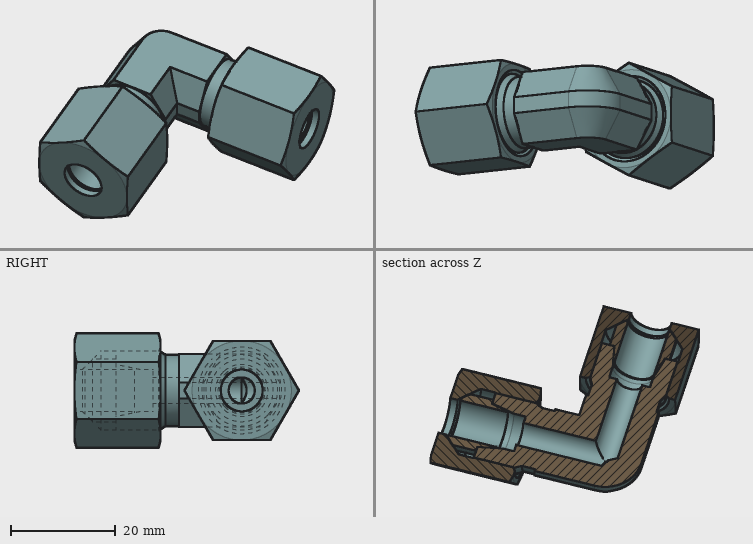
import cadquery as cq
import math


ARMS = [(0, 0), (-90, 30)]

NUT_END = 32.0
NUT_LENGTH = 16.5
NUT_START = NUT_END - NUT_LENGTH
NUT_FLATS = 19.0
NUT_CORNERS = NUT_FLATS / math.cos(math.radians(30))
NUT_CHAMFER_ANGLE = 15.0
NUT_LIP = 1.5
NUT_MOUTH_RADIUS = 8.3
NUT_MOUTH_ANGLE = 60.0

TUBE_RADIUS = 4.0
THREAD_RADIUS = 7.6
FLOW_RADIUS = 2.5
DRILL_POINT_ANGLE = 118.0

BODY_HALF_WIDTH = 7.25
BODY_HALF_HEIGHT = 7.0
TOP_HALF_WIDTH = 4.0
SIDE_HALF_HEIGHT = 1.55
BODY_ARM = 12.0

NECK_RADIUS = 6.85
NECK_END = 14.55
THREAD_LEAD_ANGLE = 30.0
STUB_END = 24.0
SOCKET_START = 17.0
SEAT_MOUTH_RADIUS = 5.0
SEAT_HALF_ANGLE = 12.0

RING_RADIUS = 6.0
RING_TIP = 20.5
RING_REAR_WALL = 0.5
RING_REAR_RADIUS = TUBE_RADIUS + RING_REAR_WALL
RING_END = NUT_END - NUT_LIP - RING_REAR_WALL

SEAT_SLOPE = math.tan(math.radians(SEAT_HALF_ANGLE))
SEAT_START = STUB_END - (SEAT_MOUTH_RADIUS - TUBE_RADIUS) / SEAT_SLOPE


def turned(points):
    """Solid of revolution about the X axis from (position, radius) points."""
    return cq.Workplane("XY").polyline(points).close().revolve(360, (0, 0, 0), (1, 0, 0))


def on_arm(arm_part, turn):
    """Turn a part made along +X about Z onto the arm at that angle."""
    return arm_part.rotate((0, 0, 0), (0, 0, 1), turn)


def make_nut(roll):
    """Hexagon nut along +X; with no roll its corners point along Y."""
    hexagon = (
        cq.Workplane("YZ", origin=(NUT_START, 0, 0))
        .polygon(6, NUT_CORNERS)
        .extrude(NUT_LENGTH)
        .rotate((0, 0, 0), (1, 0, 0), roll)
    )

    face_radius = NUT_FLATS / 2
    corner_radius = NUT_CORNERS / 2
    chamfer = (corner_radius - face_radius) * math.tan(math.radians(NUT_CHAMFER_ANGLE))
    envelope = turned([
        (NUT_START, 0),
        (NUT_START, face_radius),
        (NUT_START + chamfer, corner_radius),
        (NUT_END - chamfer, corner_radius),
        (NUT_END, face_radius),
        (NUT_END, 0),
    ])

    mouth_depth = (NUT_MOUTH_RADIUS - THREAD_RADIUS) / math.tan(math.radians(NUT_MOUTH_ANGLE))
    lip_start = NUT_END - NUT_LIP
    cavity = turned([
        (NUT_START, 0),
        (NUT_START, NUT_MOUTH_RADIUS),
        (NUT_START + mouth_depth, THREAD_RADIUS),
        (lip_start - (THREAD_RADIUS - TUBE_RADIUS), THREAD_RADIUS),
        (lip_start, TUBE_RADIUS),
        (NUT_END, TUBE_RADIUS),
        (NUT_END, 0),
    ])
    return hexagon.intersect(envelope).cut(cavity)


def make_cutting_ring():
    """Ring along +X: front cone on the elbow's seat, collar, 45 degree rear cone on the nut."""
    tip_radius = TUBE_RADIUS + (RING_TIP - SEAT_START) * SEAT_SLOPE
    return turned([
        (RING_TIP, TUBE_RADIUS),
        (RING_TIP, tip_radius),
        (STUB_END, SEAT_MOUTH_RADIUS),
        (STUB_END, RING_RADIUS),
        (RING_END - (RING_RADIUS - RING_REAR_RADIUS), RING_RADIUS),
        (RING_END, RING_REAR_RADIUS),
        (RING_END, TUBE_RADIUS),
    ])


def make_body_arm():
    """Bevelled bar along +X."""
    section = [
        (BODY_HALF_WIDTH, SIDE_HALF_HEIGHT),
        (TOP_HALF_WIDTH, BODY_HALF_HEIGHT),
        (-TOP_HALF_WIDTH, BODY_HALF_HEIGHT),
        (-BODY_HALF_WIDTH, SIDE_HALF_HEIGHT),
        (-BODY_HALF_WIDTH, -SIDE_HALF_HEIGHT),
        (-TOP_HALF_WIDTH, -BODY_HALF_HEIGHT),
        (TOP_HALF_WIDTH, -BODY_HALF_HEIGHT),
        (BODY_HALF_WIDTH, -SIDE_HALF_HEIGHT),
    ]
    return cq.Workplane("YZ").polyline(section).close().extrude(BODY_ARM)


def make_outer_bend():
    """Quarter turn of half the bar section about Z, from -X round to +Y."""
    half_section = [
        (0, BODY_HALF_HEIGHT),
        (-TOP_HALF_WIDTH, BODY_HALF_HEIGHT),
        (-BODY_HALF_WIDTH, SIDE_HALF_HEIGHT),
        (-BODY_HALF_WIDTH, -SIDE_HALF_HEIGHT),
        (-TOP_HALF_WIDTH, -BODY_HALF_HEIGHT),
        (0, -BODY_HALF_HEIGHT),
    ]
    return cq.Workplane("XZ").polyline(half_section).close().revolve(90, (0, 0, 0), (0, -1, 0))


def make_stub():
    """Undercut neck and threaded end along +X."""
    lead = (THREAD_RADIUS - NECK_RADIUS) / math.tan(math.radians(THREAD_LEAD_ANGLE))
    return turned([
        (BODY_ARM, 0),
        (BODY_ARM, NECK_RADIUS),
        (NECK_END, NECK_RADIUS),
        (NECK_END + lead, THREAD_RADIUS),
        (STUB_END, THREAD_RADIUS),
        (STUB_END, 0),
    ])


def make_arm_bore():
    """Flow bore with a drill point past the origin, tube socket and conical seat."""
    point_depth = FLOW_RADIUS / math.tan(math.radians(DRILL_POINT_ANGLE / 2))
    return turned([
        (-point_depth, 0),
        (0, FLOW_RADIUS),
        (SOCKET_START, FLOW_RADIUS),
        (SOCKET_START, TUBE_RADIUS),
        (SEAT_START, TUBE_RADIUS),
        (STUB_END, SEAT_MOUTH_RADIUS),
        (STUB_END, 0),
    ])


def make_elbow():
    """Two bars joined by the bend, with a stub and a bore on each arm."""
    solid = make_outer_bend()
    for turn, _ in ARMS:
        solid = solid.union(on_arm(make_body_arm(), turn))
        solid = solid.union(on_arm(make_stub(), turn))
    for turn, _ in ARMS:
        solid = solid.cut(on_arm(make_arm_bore(), turn))
    return solid


elbow = make_elbow()

nuts = []
cutting_rings = []
for arm_turn, nut_roll in ARMS:
    nuts.append(on_arm(make_nut(nut_roll), arm_turn).val())
    cutting_rings.append(on_arm(make_cutting_ring(), arm_turn).val())

result = cq.Compound.makeCompound([elbow.val(), *nuts, *cutting_rings])